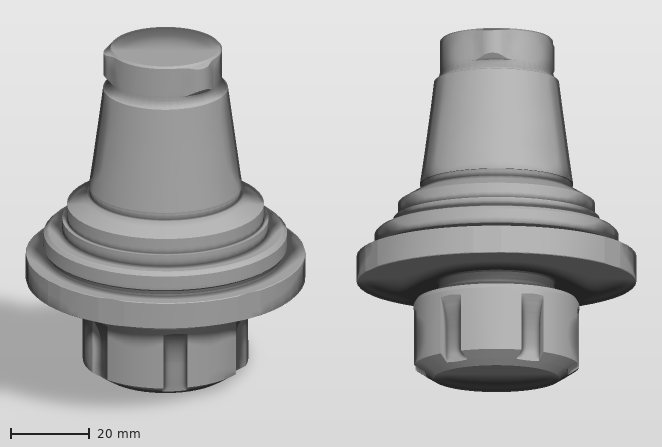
import cadquery as cq
import math

total_height = 88
nut_lip_top = 1.4
nut_chamfer_top = 3.2
nut_edge_bottom = 19.2
nut_top = 20.3
collar_top = 22
stem_bottom = 23.1
flange_bottom = 25.0
flange_top = 32.0
undercut_top = 33.2
ring_edge_bottom = 33.8
ring_edge_top = 37.5
ring_top = 38.5
step_top = 41.45
shoulder_edge = 45.4
shoulder_top = 48.4
groove_bevel_bottom = 49.5
cone_bottom = 50.3
cone_top = 77.0
neck_top = 79.6

nut_radius = 42.0 / 2
nut_bottom_radius = 16.0
nut_lip_radius = 18.3
nut_top_radius = 20.2
collar_radius = 32.0 / 2
stem_radius = 29.5 / 2
flange_radius = 35.5
undercut_radius = 60.1 / 2
ring_radius = 30.9
step_radius = 52.4 / 2
shoulder_radius = 50.0 / 2
shoulder_top_radius = 20.0
groove_radius = 19.3
cone_bottom_radius = 19.45
cone_top_radius = 15.8
head_radius = 14.3
neck_flare = 0.3

edge_break = 0.2
root_bevel = 0.35

cutter_clearance = 0.9

lobe_count = 3
lobe_crest_radius = 15.8
lobe_nose_radius = 4.4
lobe_blend_radius = 11.4
head_top_radius = 13.8
head_chamfer = total_height - 0.5
lobe_crest_top = 86.9
lobe_crest_bottom = neck_top + lobe_crest_radius - head_radius

hex_flat_count = 6
hex_flat_distance = 70.6 / 2
index_flat_distance = 35.4
index_flat_angle = 270

slot_count = 6
first_slot_angle = 30
slot_width = 6.25
slot_floor_radius = 17.95
slot_arc_start = 9.15
slot_arc_radius = 14.3


def polar(radius, angle):
    """Point at a radius and an angle in degrees."""
    turn = math.radians(angle)
    return (radius * math.cos(turn), radius * math.sin(turn))


def turned_body():
    """Nut, flange, shoulder and taper, up to the round core of the head."""
    neck_middle = (head_radius + neck_flare, (cone_top + neck_top) / 2)
    return (
        cq.Workplane("XZ")
        .moveTo(0, 0)
        .lineTo(nut_bottom_radius, 0)
        .lineTo(nut_lip_radius, nut_lip_top)
        .lineTo(nut_radius, nut_chamfer_top)
        .lineTo(nut_radius, nut_edge_bottom)
        .lineTo(nut_top_radius, nut_top)
        .lineTo(collar_radius, nut_top)
        .lineTo(collar_radius, collar_top)
        .lineTo(stem_radius, stem_bottom)
        .lineTo(stem_radius, flange_bottom - root_bevel)
        .lineTo(stem_radius + root_bevel, flange_bottom)
        .lineTo(flange_radius - edge_break, flange_bottom)
        .lineTo(flange_radius, flange_bottom + edge_break)
        .lineTo(flange_radius, flange_top - edge_break)
        .lineTo(flange_radius - edge_break, flange_top)
        .lineTo(undercut_radius + root_bevel, flange_top)
        .lineTo(undercut_radius, flange_top + root_bevel)
        .lineTo(undercut_radius, undercut_top)
        .lineTo(ring_radius, ring_edge_bottom)
        .lineTo(ring_radius, ring_edge_top)
        .lineTo(undercut_radius, ring_top - edge_break)
        .lineTo(undercut_radius - root_bevel, ring_top)
        .lineTo(step_radius, ring_top)
        .lineTo(step_radius, step_top)
        .lineTo(shoulder_radius, step_top)
        .lineTo(shoulder_radius, shoulder_edge)
        .lineTo(shoulder_top_radius, shoulder_top)
        .lineTo(groove_radius, shoulder_top)
        .lineTo(groove_radius, groove_bevel_bottom)
        .lineTo(groove_radius - edge_break, cone_bottom)
        .lineTo(cone_bottom_radius, cone_bottom)
        .lineTo(cone_top_radius, cone_top)
        .lineTo(cone_top_radius - root_bevel, cone_top + edge_break)
        .threePointArc(neck_middle, (head_radius, neck_top))
        .lineTo(head_radius, head_chamfer)
        .lineTo(head_top_radius, total_height)
        .lineTo(0, total_height)
        .close()
        .revolve(360, (0, 0), (0, 1))
    )


def lobes():
    """Three rounded lobes that blend smoothly out of the round head."""
    nose_centre = lobe_crest_radius - lobe_nose_radius
    blend_centre = head_radius + lobe_blend_radius
    centre_gap = lobe_nose_radius + lobe_blend_radius
    cosine = (blend_centre**2 + nose_centre**2 - centre_gap**2) / (2 * blend_centre * nose_centre)
    half_angle = math.degrees(math.acos(cosine))
    blend_x, blend_y = polar(blend_centre, half_angle)
    nose_angle = math.degrees(math.atan2(blend_y, blend_x - nose_centre))
    nose_x, nose_y = polar(lobe_nose_radius, nose_angle)
    nose_x += nose_centre
    middle_x, middle_y = polar(lobe_blend_radius, 180 + (half_angle + nose_angle) / 2)
    middle_x += blend_x
    middle_y += blend_y
    foot_x, foot_y = polar(head_radius, half_angle)

    outline = (
        cq.Workplane("XY", origin=(0, 0, cone_top))
        .lineTo(foot_x, -foot_y)
        .threePointArc((middle_x, -middle_y), (nose_x, -nose_y))
        .threePointArc((lobe_crest_radius, 0), (nose_x, nose_y))
        .threePointArc((middle_x, middle_y), (foot_x, foot_y))
        .close()
        .extrude(total_height - cone_top)
    )
    envelope = (
        cq.Workplane("XZ")
        .moveTo(0, neck_top)
        .lineTo(head_radius, neck_top)
        .lineTo(lobe_crest_radius, lobe_crest_bottom)
        .lineTo(lobe_crest_radius, lobe_crest_top)
        .lineTo(head_radius, head_chamfer)
        .lineTo(0, head_chamfer)
        .close()
        .revolve(360, (0, 0), (0, 1))
    )
    lobe = outline.intersect(envelope)
    all_lobes = lobe
    for index in range(1, lobe_count):
        all_lobes = all_lobes.union(lobe.rotate((0, 0, 0), (0, 0, 1), index * 360 / lobe_count))
    return all_lobes


def rim_flat(distance, angle):
    """Cutter that leaves a flat on the flange rim at a distance from the axis."""
    depth = flange_radius - distance + cutter_clearance
    return (
        cq.Workplane("XY", origin=(0, 0, flange_bottom))
        .center(distance + depth / 2, 0)
        .rect(depth, flange_radius)
        .extrude(flange_top - flange_bottom)
        .rotate((0, 0, 0), (0, 0, 1), angle)
    )


def nut_slot(angle):
    """Cutter for a spanner slot whose floor curves outward at its upper end."""
    outer = nut_radius + cutter_clearance
    rise = outer - slot_floor_radius
    run_out = math.sqrt(slot_arc_radius**2 - (slot_arc_radius - rise) ** 2)
    middle_rise = slot_arc_radius - math.sqrt(slot_arc_radius**2 - (run_out / 2) ** 2)
    return (
        cq.Workplane("XZ")
        .moveTo(slot_floor_radius, 0)
        .lineTo(outer, 0)
        .lineTo(outer, slot_arc_start + run_out)
        .threePointArc(
            (slot_floor_radius + middle_rise, slot_arc_start + run_out / 2),
            (slot_floor_radius, slot_arc_start),
        )
        .close()
        .extrude(slot_width / 2, both=True)
        .rotate((0, 0, 0), (0, 0, 1), angle)
    )


result = turned_body().union(lobes())
for index in range(hex_flat_count):
    result = result.cut(rim_flat(hex_flat_distance, index * 360 / hex_flat_count))
result = result.cut(rim_flat(index_flat_distance, index_flat_angle))
for index in range(slot_count):
    result = result.cut(nut_slot(first_slot_angle + index * 360 / slot_count))